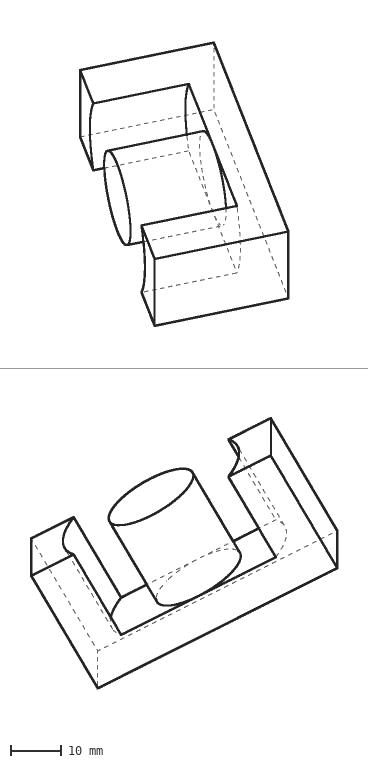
import cadquery as cq

length = 54.5
depth = 27.8
height = 19.3

back_thickness = 7.95
bore_diameter = 40.1
post_diameter = height

winding_depth = depth - back_thickness


def cylinder_from_front(diameter):
    """Cylinder along Y, from the open front face to the back wall."""
    front_plane = cq.Workplane("XZ", origin=(0, -depth / 2, 0))
    return front_plane.circle(diameter / 2).extrude(-winding_depth)


block = cq.Workplane("XY").box(length, depth, height)
core = block.cut(cylinder_from_front(bore_diameter))

result = core.union(cylinder_from_front(post_diameter))